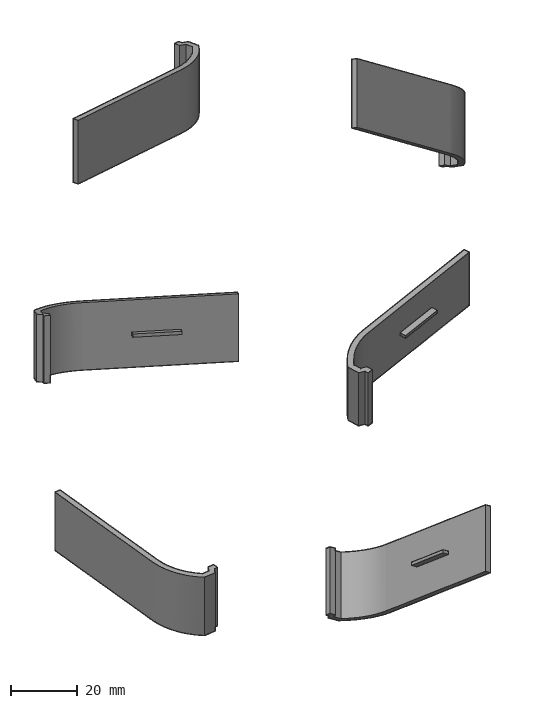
import cadquery as cq
import math

length = 63.5
depth = 13.6
height = 21.0
thickness = 2.0

bend_start = 47.4
outer_radius = 21.6
inner_radius = outer_radius - thickness

lip_drop = 1.8
step_run = 0.95
tip_outer_length = 1.3
tip_inner_length = 2.1

rib_start = 17.65
rib_length = 15.0
rib_height = 2.15
rib_thickness = 1.0

inner_face = depth - thickness
crest_inner = length - thickness
bend_center_x = depth - outer_radius


def bend_point(radius, y):
    """Point of the bend with the given radius at the given Y."""
    return bend_center_x + math.sqrt(radius**2 - (y - bend_start) ** 2), y


def bend_middle(radius, end_y):
    """Point halfway along the bend between its start and end_y."""
    half_angle = math.asin((end_y - bend_start) / radius) / 2
    return (
        bend_center_x + radius * math.cos(half_angle),
        bend_start + radius * math.sin(half_angle),
    )


def make_strip():
    """Constant-height strip with a flat plate, a bend and a hooked lip."""
    tip_outer_y = length - lip_drop
    tip_inner_y = crest_inner - lip_drop
    return (
        cq.Workplane("XY")
        .moveTo(inner_face, 0)
        .lineTo(depth, 0)
        .lineTo(depth, bend_start)
        .threePointArc(bend_middle(outer_radius, length), bend_point(outer_radius, length))
        .lineTo(tip_outer_length + step_run, length)
        .lineTo(tip_outer_length, tip_outer_y)
        .lineTo(0, tip_outer_y)
        .lineTo(0, tip_inner_y)
        .lineTo(tip_inner_length, tip_inner_y)
        .lineTo(tip_inner_length + step_run, crest_inner)
        .lineTo(*bend_point(inner_radius, crest_inner))
        .threePointArc(bend_middle(inner_radius, crest_inner), (inner_face, bend_start))
        .close()
        .extrude(height)
    )


def make_rib():
    """Rib at mid-height, reaching through the plate thickness to join it fully."""
    return cq.Workplane("XY").box(
        rib_height + thickness, rib_length, rib_thickness, centered=(False, False, True)
    ).translate((inner_face - rib_height, rib_start, height / 2))


result = make_strip().union(make_rib())